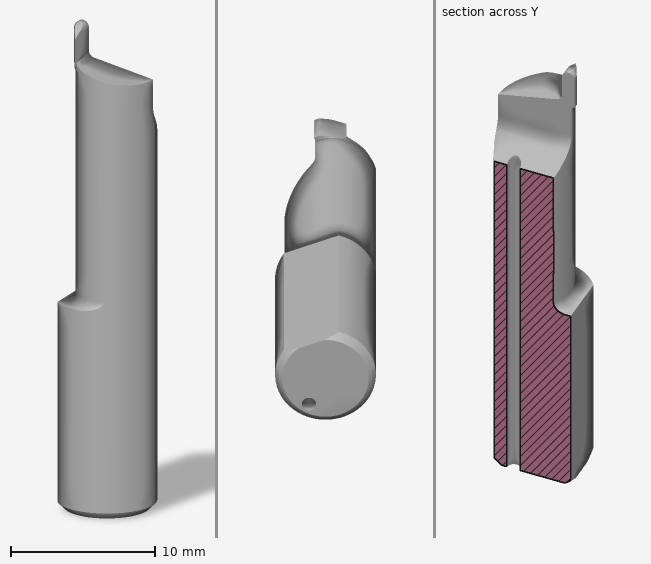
import cadquery as cq
import math

SHANK_RADIUS = 3.5
SHANK_FLAT_X = -2.85
SHANK_LENGTH = 15.0
BASE_CHAMFER = 0.5
TOTAL_LENGTH = 35.0

NECK_AXIS_X = 1.18
NECK_RADIUS = 3.27
SHOULDER_FILLET = 0.75

HEAD_BOTTOM_Z = 31.9
HEAD_OFFSET = 0.06

END_FACE_HIGH_Z = 32.45
END_FACE_SLOPE_X = 13.0
END_FACE_SLOPE_Y = 2.5

RAKE_FILLET = 1.5
RAMP_ANGLE = 41.5
RAMP_OUTER_Y = 3.26
RAMP_OUTER_Z = 25.2

TIP_WIDTH = 0.95
TIP_LEFT_X = -2.33
TIP_RIGHT_X = TIP_LEFT_X + TIP_WIDTH
TIP_BOTTOM_Z = 32.02
TIP_LAND = 0.38
TIP_DEPTH = 2.1
SIDE_CLEARANCE = 26.0
INNER_CLEARANCE = 2.5
TOP_CLEARANCE = 25.0
TIP_ROOT_FILLET = 0.5

HOLE_DIAMETER = 1.0
HOLE_X = 1.5
HOLE_Y = 1.77

MARGIN = 10.0


def cylinder(radius, height, center_x=0.0, center_y=0.0):
    return cq.Workplane("XY").center(center_x, center_y).circle(radius).extrude(height)


def make_shank():
    shank = cylinder(SHANK_RADIUS, SHANK_LENGTH).faces("<Z").chamfer(BASE_CHAMFER)
    right_of_flat = cq.Workplane("XY").box(MARGIN, 2 * MARGIN, SHANK_LENGTH, centered=(False, True, False))
    return shank.intersect(right_of_flat.translate((SHANK_FLAT_X, 0, 0)))


def make_neck():
    """Neck and head with a concave flare at the shoulder, kept inside the shank cylinder."""
    flare_radius = NECK_RADIUS + SHOULDER_FILLET
    flare_top = SHANK_LENGTH + SHOULDER_FILLET
    arc_shift = SHOULDER_FILLET * math.sqrt(0.5)
    neck = (
        cq.Workplane("XZ")
        .lineTo(flare_radius, 0)
        .lineTo(flare_radius, SHANK_LENGTH)
        .threePointArc((flare_radius - arc_shift, flare_top - arc_shift), (NECK_RADIUS, flare_top))
        .lineTo(NECK_RADIUS, TOTAL_LENGTH)
        .lineTo(0, TOTAL_LENGTH)
        .close()
        .revolve(360, (0, 0, 0), (0, 1, 0))
        .translate((NECK_AXIS_X, 0, 0))
    )
    above_shank = cylinder(SHANK_RADIUS, TOTAL_LENGTH - SHANK_LENGTH).translate((0, 0, SHANK_LENGTH))
    head = cylinder(NECK_RADIUS, TOTAL_LENGTH - HEAD_BOTTOM_Z, NECK_AXIS_X - HEAD_OFFSET)
    return neck.union(head.translate((0, 0, HEAD_BOTTOM_Z))).intersect(above_shank)


def end_face_cutter():
    """Space above the sloped end face and right of the tip, blended at the tip root."""
    run = 2 * MARGIN
    fall = run * math.tan(math.radians(END_FACE_SLOPE_Y))
    shift = run * math.tan(math.radians(INNER_CLEARANCE))
    drop = run * math.tan(math.radians(END_FACE_SLOPE_X))
    profile = (
        cq.Workplane("XZ")
        .moveTo(TIP_RIGHT_X, END_FACE_HIGH_Z)
        .lineTo(TIP_RIGHT_X + run, END_FACE_HIGH_Z - drop)
        .lineTo(TIP_RIGHT_X + run, TOTAL_LENGTH + MARGIN)
        .lineTo(TIP_RIGHT_X, TOTAL_LENGTH + MARGIN)
        .close()
    )
    direction = cq.Vector(-shift, -run, -fall)
    cutter = cq.Workplane(cq.Solid.extrudeLinear(profile.val(), [], direction))
    root_middle = cq.Vector(TIP_RIGHT_X, 0, END_FACE_HIGH_Z) + direction * 0.5
    root_edge = cq.selectors.NearestToPointSelector(root_middle.toTuple())
    return cutter.edges(root_edge).fillet(TIP_ROOT_FILLET)


def rake_cutter():
    """Space on the +Y side of the rake face and above the ramp that blends into it."""
    angle = math.radians(RAMP_ANGLE)
    corner_z = RAMP_OUTER_Z + RAMP_OUTER_Y / math.tan(angle)
    outer_y = RAMP_OUTER_Y + MARGIN
    outer_z = RAMP_OUTER_Z - MARGIN / math.tan(angle)
    cutter = (
        cq.Workplane("YZ")
        .moveTo(0, corner_z)
        .lineTo(outer_y, outer_z)
        .lineTo(outer_y, TOTAL_LENGTH + MARGIN)
        .lineTo(0, TOTAL_LENGTH + MARGIN)
        .close()
        .extrude(MARGIN, both=True)
    )
    corner_edge = cq.selectors.NearestToPointSelector((0, 0, corner_z))
    return cutter.edges(corner_edge).fillet(RAKE_FILLET)


def nose_profile(right_x, plane_y):
    """Closed outline from the tip's left side to right_x, rounded at the upper left."""
    radius = TIP_WIDTH / 2
    arc_shift = radius * math.sqrt(0.5)
    center_x = TIP_LEFT_X + radius
    center_z = TOTAL_LENGTH - radius
    return (
        cq.Workplane("XZ", origin=(0, plane_y, 0))
        .moveTo(TIP_LEFT_X, TIP_BOTTOM_Z)
        .lineTo(TIP_LEFT_X, center_z)
        .threePointArc((center_x - arc_shift, center_z + arc_shift), (center_x, TOTAL_LENGTH))
        .lineTo(right_x, TOTAL_LENGTH)
        .lineTo(right_x, TIP_BOTTOM_Z)
        .close()
    )


def make_tip():
    relieved_depth = TIP_DEPTH - TIP_LAND
    side_shift = relieved_depth * math.tan(math.radians(SIDE_CLEARANCE))
    top_drop = relieved_depth * math.tan(math.radians(TOP_CLEARANCE))
    wide_x = TIP_RIGHT_X + MARGIN

    land = nose_profile(wide_x, 0).extrude(TIP_LAND)
    relief_direction = cq.Vector(side_shift, -relieved_depth, 0)
    relief = cq.Solid.extrudeLinear(nose_profile(wide_x, -TIP_LAND).val(), [], relief_direction)

    center_x = TIP_LEFT_X + TIP_WIDTH / 2
    inner_shift = TIP_DEPTH * math.tan(math.radians(INNER_CLEARANCE))
    inner_direction = cq.Vector(inner_shift, -TIP_DEPTH, 0)
    inner_side = cq.Solid.extrudeLinear(nose_profile(wide_x, 0).val(), [], inner_direction)
    right_side = cq.Workplane(inner_side.mirror("YZ", cq.Vector(center_x, 0, 0)))
    under_top = (
        cq.Workplane("YZ")
        .moveTo(0, TIP_BOTTOM_Z)
        .lineTo(0, TOTAL_LENGTH)
        .lineTo(-TIP_LAND, TOTAL_LENGTH)
        .lineTo(-TIP_DEPTH, TOTAL_LENGTH - top_drop)
        .lineTo(-TIP_DEPTH, TIP_BOTTOM_Z)
        .close()
        .extrude(MARGIN, both=True)
    )
    return land.union(cq.Workplane(relief)).intersect(right_side).intersect(under_top)


def outside_tip_cutter():
    """Space around the tip, left of its inner side and above its underside."""
    height = TOTAL_LENGTH - TIP_BOTTOM_Z + MARGIN
    return (
        cq.Workplane("XY", origin=(TIP_RIGHT_X, 0, TIP_BOTTOM_Z))
        .rect(-MARGIN, -MARGIN, centered=False)
        .extrude(height)
    )


neck = make_neck().cut(rake_cutter()).cut(end_face_cutter()).cut(outside_tip_cutter())
hole = cylinder(HOLE_DIAMETER / 2, TOTAL_LENGTH, HOLE_X, HOLE_Y)
result = make_shank().union(neck).union(make_tip()).cut(hole)